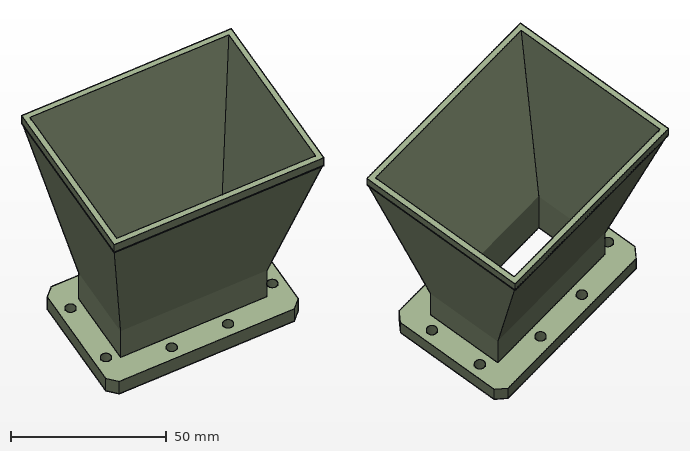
import cadquery as cq

TOTAL_HEIGHT = 86.0
FLANGE_THICKNESS = 6.2
NECK_TOP = 19.0
RIM_HEIGHT = 4.0
RIM_BOTTOM = TOTAL_HEIGHT - RIM_HEIGHT

RIM_X, RIM_Y = 62.2, 76.8
RIM_WALL = 2.0
BORE_X, BORE_Y = 22.2, 47.6
NECK_WALL = 3.0
FUNNEL_INSET_X = 0.35
FUNNEL_INSET_Y = 0.2

FLANGE_X, FLANGE_Y = 45.7, 70.5
CORNER_CHAMFER = 3.2
HOLE_DIAMETER = 3.6
SIDE_HOLE_X, SIDE_HOLE_Y = 18.2, 10.3
END_HOLE_Y = 31.0
FRONT_HOLE_X = 11.9
BACK_HOLE_X = 10.1

neck_size = (BORE_X + 2 * NECK_WALL, BORE_Y + 2 * NECK_WALL)
funnel_top_size = (RIM_X - 2 * FUNNEL_INSET_X, RIM_Y - 2 * FUNNEL_INSET_Y)
mouth_size = (RIM_X - 2 * RIM_WALL, RIM_Y - 2 * RIM_WALL)


def block(size, bottom, top):
    """Straight rectangular block centred on the Z axis."""
    return cq.Workplane("XY").workplane(offset=bottom).rect(*size).extrude(top - bottom)


def taper(bottom_size, top_size, bottom, top):
    """Rectangular frustum centred on the Z axis."""
    return (
        cq.Workplane("XY")
        .workplane(offset=bottom)
        .rect(*bottom_size)
        .workplane(offset=top - bottom)
        .rect(*top_size)
        .loft(ruled=True)
    )


def mounting_flange():
    """Flange plate with cut corners and two holes along every side."""
    plate = block((FLANGE_X, FLANGE_Y), 0, FLANGE_THICKNESS).edges("|Z").chamfer(CORNER_CHAMFER)
    side_holes = [(sx * SIDE_HOLE_X, sy * SIDE_HOLE_Y) for sx in (-1, 1) for sy in (-1, 1)]
    front_holes = [(sx * FRONT_HOLE_X, -END_HOLE_Y) for sx in (-1, 1)]
    back_holes = [(sx * BACK_HOLE_X, END_HOLE_Y) for sx in (-1, 1)]
    holes = side_holes + front_holes + back_holes
    return plate.faces(">Z").workplane().pushPoints(holes).hole(HOLE_DIAMETER)


def horn_body():
    """Outside of the straight neck, the flared funnel and the rim."""
    neck = block(neck_size, 0, NECK_TOP)
    funnel = taper(neck_size, funnel_top_size, NECK_TOP, RIM_BOTTOM)
    rim = block((RIM_X, RIM_Y), RIM_BOTTOM, TOTAL_HEIGHT)
    return neck.union(funnel).union(rim)


def horn_cavity():
    """Straight bore that flares from the neck all the way to the mouth."""
    bore = block((BORE_X, BORE_Y), 0, NECK_TOP)
    flare = taper((BORE_X, BORE_Y), mouth_size, NECK_TOP, TOTAL_HEIGHT)
    return bore.union(flare)


result = mounting_flange().union(horn_body()).cut(horn_cavity())